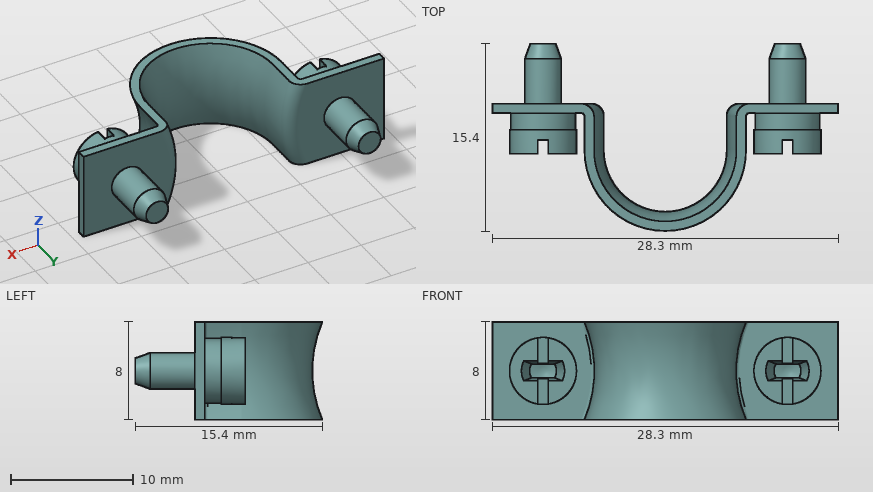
import cadquery as cq

length = 28.3
width = 8.0
thickness = 0.8
band_radius = 6.62
strap_depth = 10.45
waist_sag = 0.82
bend_radius = 0.25

screw_spacing = 20.0
pin_diameter = 3.0
pin_length = 4.9
tip_diameter = 2.1
tip_length = 1.25
collar_diameter = 5.32
collar_height = 1.35
head_diameter = 5.5
head_height = 1.98

slot_width = 0.85
slot_depth = 1.13
recess_length = 3.55
recess_width = 1.65
recess_floor_length = 2.2
recess_floor_width = 1.13
recess_depth = 1.58
recess_point_depth = 0.28

half_length = length / 2
half_width = width / 2
inner_radius = band_radius - thickness
arc_center_y = band_radius - strap_depth
tab_front_y = -thickness
head_face_y = tab_front_y - collar_height - head_height


def waisted_section(plane):
    """Cross-section of the band on its -X side: two equal bowed sides."""
    return (
        cq.Workplane(plane)
        .moveTo(-band_radius, -half_width)
        .threePointArc((-band_radius + waist_sag, 0), (-band_radius, half_width))
        .lineTo(-inner_radius, half_width)
        .threePointArc((-inner_radius + waist_sag, 0), (-inner_radius, -half_width))
        .close()
    )


def make_bow():
    """Half-round part of the band, swept about the axis of the U."""
    plane = cq.Plane(origin=(0, arc_center_y, 0), xDir=(1, 0, 0), normal=(0, -1, 0))
    return waisted_section(plane).revolve(180, (0, 0), (0, 1))


def make_leg():
    """Tab on the -X side with its straight wall and rounded bend."""
    wall = waisted_section("XZ").extrude(-arc_center_y)
    tab = (
        cq.Workplane("XZ")
        .moveTo(-half_length, -half_width)
        .lineTo(-inner_radius, -half_width)
        .threePointArc((-inner_radius + waist_sag, 0), (-inner_radius, half_width))
        .lineTo(-half_length, half_width)
        .close()
        .extrude(thickness)
    )
    leg = tab.union(wall)
    back_edge = cq.selectors.NearestToPointSelector((-inner_radius + waist_sag, 0, 0))
    front_edge = cq.selectors.NearestToPointSelector((-band_radius + waist_sag, tab_front_y, 0))
    leg = leg.edges(back_edge).fillet(bend_radius + thickness)
    return leg.edges(front_edge).fillet(bend_radius)


def make_recess():
    """Tapered drive recess: a cone with its sides cut by sloping flats, ending in a point."""
    floor_y = head_face_y + recess_depth
    cone = (
        cq.Workplane("XY")
        .polyline([
            (0, head_face_y),
            (recess_length / 2, head_face_y),
            (recess_floor_length / 2, floor_y),
            (0, floor_y + recess_point_depth),
        ])
        .close()
        .revolve(360, (0, 0), (0, 1))
    )
    full_depth = recess_depth + recess_point_depth
    flat_slope = (recess_width - recess_floor_width) / 2 / recess_depth
    end_half_width = recess_width / 2 - flat_slope * full_depth
    wedge = (
        cq.Workplane("YZ")
        .polyline([
            (head_face_y, -recess_width / 2),
            (head_face_y, recess_width / 2),
            (head_face_y + full_depth, end_half_width),
            (head_face_y + full_depth, -end_half_width),
        ])
        .close()
        .extrude(recess_length / 2, both=True)
    )
    return cone.intersect(wedge)


def make_screw():
    """Screw along Y, centred on X = 0, with slot and recess in its head."""
    collar_front_y = tab_front_y - collar_height
    screw = (
        cq.Workplane("XY")
        .polyline([
            (0, head_face_y),
            (head_diameter / 2, head_face_y),
            (head_diameter / 2, collar_front_y),
            (collar_diameter / 2, collar_front_y),
            (collar_diameter / 2, tab_front_y),
            (pin_diameter / 2, tab_front_y),
            (pin_diameter / 2, pin_length - tip_length),
            (tip_diameter / 2, pin_length),
            (0, pin_length),
        ])
        .close()
        .revolve(360, (0, 0), (0, 1))
    )
    slot = cq.Workplane("XY").box(slot_width, 2 * slot_depth, width)
    slot = slot.translate((0, head_face_y, 0))
    return screw.cut(slot).cut(make_recess())


leg = make_leg()
result = make_bow().union(leg).union(leg.mirror("YZ"))
screw = make_screw()
for side in (-1, 1):
    result = result.union(screw.translate((side * screw_spacing / 2, 0, 0)))